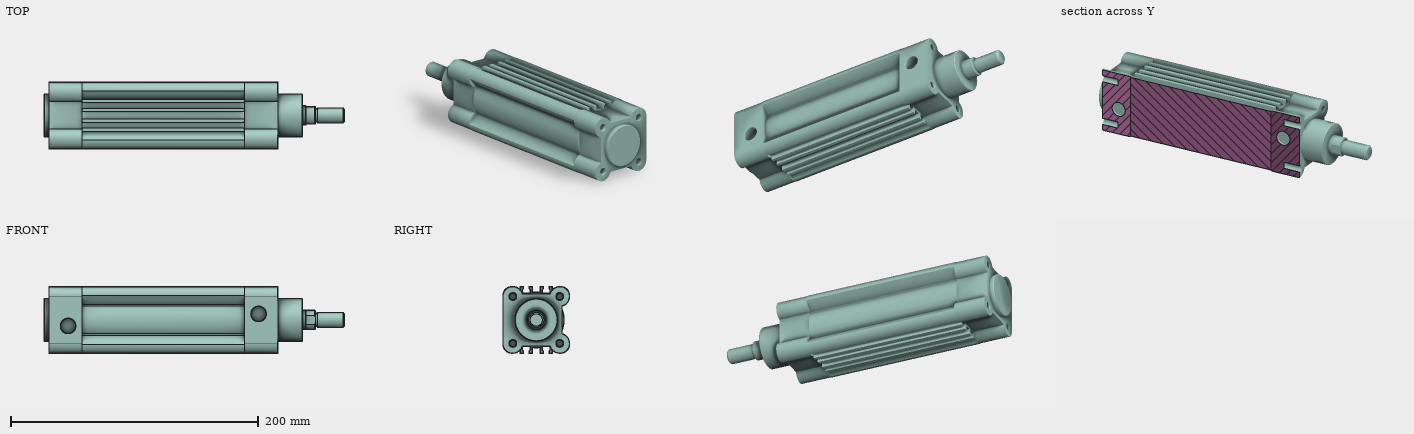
import cadquery as cq
import math


total_length = 243.0
flange_length = 4.0
cap_length = 27.0
tube_length = 131.2
boss_length = 20.0
rear_cap_start = flange_length
tube_start = rear_cap_start + cap_length
front_cap_start = tube_start + tube_length
front_cap_end = front_cap_start + cap_length
boss_end = front_cap_end + boss_length

section_side = 54.0
half_side = section_side / 2
corner_radius = 8.0
bolt_offset = half_side - corner_radius

cap_waist = 21.0
spigot_diameter = 34.7
spigot_chamfer = 0.5
bolt_hole_diameter = 5.0
bolt_hole_depth = 14.5
bolt_hole_chamfer = 0.6
port_diameter = 12.0
port_depth = 10.0
port_chamfer = 0.36
port_setback = 15.5
port_offset = 4.9

barrel_radius = 22.5
core_half = 19.7
post_radius = 7.3
slot_center = 8.0
slot_width = 6.0
slot_opening = 4.5
slot_floor = 21.6
fin_thickness = 2.0
lip_thickness = 1.7

rod_diameter = 15.8
rod_shoulder_end = 219.5
rod_chamfer = 0.5
groove_width = 0.5
groove_depth = 0.2
flat_start = 212.0
across_flats = 14.0
neck_length = 2.0
neck_diameter = 11.0
thread_diameter = 12.5
thread_chamfer = 1.2


def along_x(start):
    """Workplane at the given X, with local axes along +Y and +Z."""
    return cq.Workplane("YZ", origin=(start, 0, 0))


def bar_along_x(start, length, diameter):
    """Round bar along X."""
    return along_x(start).circle(diameter / 2).extrude(length)


def hole_cutter(center, direction, diameter, depth, chamfer):
    """Cutter for a blind hole with a chamfered mouth."""
    mouth = cq.Plane(origin=center, normal=direction)
    drill = cq.Workplane(mouth).circle(diameter / 2).extrude(depth)
    cone = cq.Solid.makeCone(
        diameter / 2 + chamfer, diameter / 2, chamfer, cq.Vector(*center), cq.Vector(*direction)
    )
    return drill.union(cq.Workplane(cone))


def make_cap(start, port_x, port_height):
    """End cap with four round corners, its front side flush with the corners."""
    core = along_x(start).rect(2 * cap_waist, 2 * cap_waist).extrude(cap_length)
    flush_side = (
        along_x(start)
        .center(-(half_side + bolt_offset) / 2, 0)
        .rect(corner_radius, 2 * bolt_offset)
        .extrude(cap_length)
    )
    corners = (
        along_x(start)
        .rect(2 * bolt_offset, 2 * bolt_offset, forConstruction=True)
        .vertices()
        .circle(corner_radius)
        .extrude(cap_length)
    )
    cap = core.union(flush_side).union(corners)

    port_center = (port_x, -half_side, port_height)
    port = hole_cutter(port_center, (0, 1, 0), port_diameter, port_depth, port_chamfer)
    return cap.cut(port)


def cut_bolt_holes(cap, face_x, inward):
    """Drill the four corner holes from the outer cap face."""
    for y in (-bolt_offset, bolt_offset):
        for z in (-bolt_offset, bolt_offset):
            hole = hole_cutter(
                (face_x, y, z), (inward, 0, 0), bolt_hole_diameter, bolt_hole_depth, bolt_hole_chamfer
            )
            cap = cap.cut(hole)
    return cap


def make_rear_cap():
    cap = make_cap(rear_cap_start, rear_cap_start + port_setback, -port_offset)
    cap = cut_bolt_holes(cap, rear_cap_start, 1)
    flange = bar_along_x(0, flange_length, spigot_diameter).faces("<X").chamfer(spigot_chamfer)
    return cap.union(flange)


def make_front_cap():
    cap = make_cap(front_cap_start, front_cap_end - port_setback, port_offset)
    cap = cut_bolt_holes(cap, front_cap_end, -1)
    boss = bar_along_x(front_cap_end, boss_length, spigot_diameter).faces(">X").chamfer(spigot_chamfer)
    return cap.union(boss)


def make_corner_post():
    """Corner post at +Y +Z: rounded outside, 45 degree flanks towards the barrel."""
    flank_end = half_side - post_radius
    foot = flank_end - (half_side - core_half)
    arc_middle = flank_end + post_radius * math.sqrt(0.5)
    return (
        along_x(tube_start)
        .moveTo(0, 0)
        .lineTo(core_half, 0)
        .lineTo(core_half, foot)
        .lineTo(half_side, flank_end)
        .threePointArc((arc_middle, arc_middle), (flank_end, half_side))
        .lineTo(foot, core_half)
        .lineTo(0, core_half)
        .close()
        .extrude(tube_length)
    )


def make_fin(stem_side, lip_side):
    """Fin standing up to +Z: its stem touches the slot wall, its lip narrows the slot opening.

    The underside of the lip slopes at 45 degrees into the stem.
    """
    outward = 1 if stem_side > lip_side else -1
    outer_side = stem_side + outward * fin_thickness
    lip_bottom = half_side - lip_thickness
    lip_reach = abs(stem_side - lip_side)
    return (
        along_x(tube_start)
        .moveTo(outer_side, core_half)
        .lineTo(outer_side, half_side)
        .lineTo(lip_side, half_side)
        .lineTo(lip_side, lip_bottom)
        .lineTo(stem_side, lip_bottom - lip_reach)
        .lineTo(stem_side, core_half)
        .close()
        .extrude(tube_length)
    )


def placed(feature, mirror_y, mirror_z):
    """Copy of a +Y +Z feature in the chosen quadrant."""
    if mirror_y:
        feature = feature.mirror("XZ")
    if mirror_z:
        feature = feature.mirror("XY")
    return feature


def make_slot_block(bottom, top):
    """Bar as wide as a sensor slot, between two heights."""
    return (
        along_x(tube_start)
        .center(slot_center, (bottom + top) / 2)
        .rect(slot_width, top - bottom)
        .extrude(tube_length)
    )


def make_tube():
    tube = bar_along_x(tube_start, tube_length, 2 * barrel_radius)

    post = make_corner_post()
    post_pair = post.union(post.mirror("XZ"))
    tube = tube.union(post_pair).union(post_pair.mirror("XY"))

    slot_outer = slot_center + slot_width / 2
    slot_inner = slot_center - slot_width / 2
    outer_fin = make_fin(slot_outer, slot_center + slot_opening / 2)
    inner_fin = make_fin(slot_inner, slot_center - slot_opening / 2)
    slot = make_slot_block(slot_floor, half_side)
    slot_bed = make_slot_block(core_half, slot_floor)
    fins = outer_fin.union(inner_fin).union(slot_bed)
    for mirror_y in (False, True):
        for mirror_z in (False, True):
            tube = tube.cut(placed(slot, mirror_y, mirror_z))
            tube = tube.union(placed(fins, mirror_y, mirror_z))
    return tube


def make_piston_rod():
    """Shoulder with two wrench flats, an undercut neck and a threaded end."""
    shoulder = bar_along_x(boss_end, rod_shoulder_end - boss_end, rod_diameter)
    shoulder = shoulder.faces(">X").chamfer(rod_chamfer)

    flat_length = rod_shoulder_end - flat_start
    flat_zone = along_x(flat_start).rect(2 * rod_diameter, 2 * rod_diameter).extrude(flat_length)
    kept = along_x(flat_start).rect(across_flats, rod_diameter).extrude(flat_length)
    shoulder = shoulder.cut(flat_zone.cut(kept))

    groove_start = flat_start - groove_width
    groove_zone = bar_along_x(groove_start, groove_width, 2 * rod_diameter)
    groove_core = bar_along_x(groove_start, groove_width, rod_diameter - 2 * groove_depth)
    shoulder = shoulder.cut(groove_zone.cut(groove_core))

    thread_start = rod_shoulder_end + neck_length
    neck = bar_along_x(rod_shoulder_end, neck_length, neck_diameter)
    thread = bar_along_x(thread_start, total_length - thread_start, thread_diameter)
    thread = thread.faces(">X").chamfer(thread_chamfer)
    return shoulder.union(neck).union(thread)


rear_cap = make_rear_cap()
tube = make_tube()
front_cap = make_front_cap()
piston_rod = make_piston_rod()

result = cq.Compound.makeCompound([rear_cap.val(), tube.val(), front_cap.val(), piston_rod.val()])